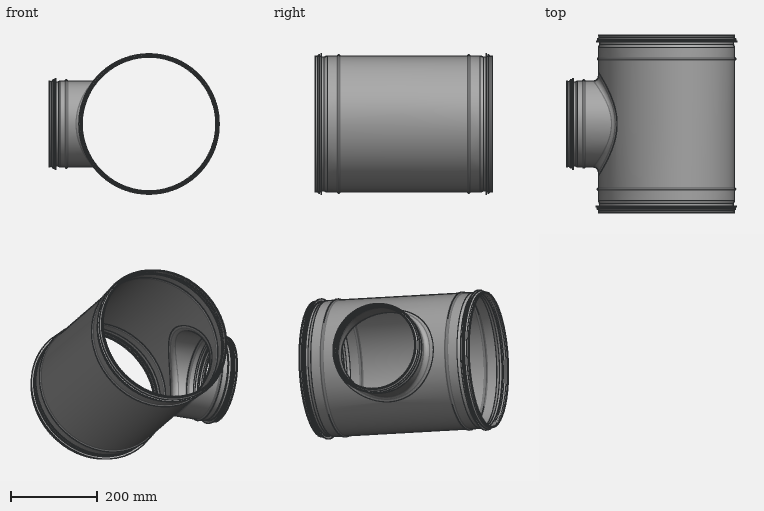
import cadquery as cq
main_length = 410.0
overall_width = 392.5

lip_length = 2.0
lip_rounding = 1.02
groove_end = 21.5
bead_width = 7.5
bead_height = 2.65

main_outer_radius = 314.5 / 2
main_wall = 0.6
main_groove_radius = 309.0 / 2
main_cone_end = 28.5
main_bead_centre = 55.0

branch_outer_radius = 199.0 / 2
branch_wall = 0.5
branch_groove_radius = 194.5 / 2
branch_cone_end = 24.5
branch_bead_centre = 39.8

saddle_fillet = 11.0
flange_half_length = 119.5
flange_half_height = 108.0
neck_length = 4.0

gasket_end = 15.5
thick_fin_start = 5.7
thick_fin_tip_start = 9.5
thick_fin_end = 11.0
thin_fin_thickness = 1.5
main_band_radius = 313.0 / 2
main_thick_fin_radius = 319.5 / 2
main_thin_fin_radius = 324.5 / 2
branch_band_radius = 197.0 / 2
branch_thick_fin_radius = 204.0 / 2
branch_thin_fin_radius = 209.5 / 2

branch_reach = overall_width - main_thin_fin_radius


def revolve_about_x(profile):
    return profile.close().revolve(360, (0, 0, 0), (1, 0, 0))


def spigot(length, outer, wall, groove, cone_end, bead_centre):
    """Sheet tube along +X; its open end, at X = 0, has a folded lip, a gasket groove and a pressed bead."""
    inner = outer - wall
    fold = groove + wall
    foot_start = bead_centre - bead_width / 2
    foot_end = bead_centre + bead_width / 2

    flank = bead_width / 4
    arc_radius = (flank**2 + (bead_height / 2) ** 2) / bead_height
    inner_flank = flank * (1 - wall / arc_radius)
    outer_flank_radius = outer + bead_height / 2
    inner_flank_radius = outer_flank_radius - wall * (1 - bead_height / 2 / arc_radius)

    profile = (
        cq.Workplane("XY")
        .moveTo(0, groove - wall)
        .lineTo(0, outer - lip_rounding)
        .radiusArc((lip_rounding, outer), lip_rounding)
        .lineTo(lip_length, outer)
        .lineTo(lip_length, fold)
        .lineTo(gasket_end, fold)
        .lineTo(gasket_end, groove)
        .lineTo(groove_end, groove)
        .lineTo(cone_end, outer)
        .lineTo(foot_start, outer)
        .tangentArcPoint((bead_centre - flank, outer_flank_radius), relative=False)
        .tangentArcPoint((bead_centre + flank, outer_flank_radius), relative=False)
        .tangentArcPoint((foot_end, outer), relative=False)
        .lineTo(length, outer)
        .lineTo(length, inner)
        .lineTo(foot_end, inner)
        .tangentArcPoint((bead_centre + inner_flank, inner_flank_radius), relative=False)
        .tangentArcPoint((bead_centre - inner_flank, inner_flank_radius), relative=False)
        .tangentArcPoint((foot_start, inner), relative=False)
        .lineTo(cone_end, inner)
        .lineTo(groove_end, groove - wall)
    )
    return revolve_about_x(profile)


def gasket(seat, band, thick_fin, thin_fin):
    """Rubber ring seated behind the lip of a spigot that opens at X = 0."""
    thin_fin_start = gasket_end - thin_fin_thickness
    profile = (
        cq.Workplane("XY")
        .moveTo(lip_length, seat)
        .lineTo(lip_length, band)
        .lineTo(thick_fin_start, band)
        .lineTo(thick_fin_tip_start, thick_fin)
        .lineTo(thick_fin_end, thick_fin)
        .lineTo(thick_fin_end, band)
        .lineTo(thin_fin_start, band)
        .lineTo(thin_fin_start, thin_fin)
        .lineTo(gasket_end, thin_fin)
        .lineTo(gasket_end, seat)
    )
    return revolve_about_x(profile)


def at_front_end(body):
    return body.rotate((0, 0, 0), (0, 0, 1), 90).translate((0, -main_length / 2, 0))


def at_both_main_ends(body):
    front = at_front_end(body)
    return [front, front.rotate((0, 0, 0), (0, 0, 1), 180)]


def at_branch_end(body):
    return body.translate((-branch_reach, 0, 0))


def flange_prism():
    """Elliptic prism along -X from the main axis, in the outline of the saddle flange."""
    return cq.Workplane("YZ").ellipse(flange_half_length, flange_half_height).extrude(-branch_reach)


def solid_tee(main_radius, branch_radius, branch_end, fillet):
    """Solid main and branch cylinders with a fillet where they meet."""
    main = cq.Workplane("XZ").circle(main_radius).extrude(main_length / 2, both=True)
    branch = cq.Workplane("YZ").circle(branch_radius).extrude(-branch_end)
    joint = cq.selectors.BoxSelector(
        (-main_radius, -branch_radius, -branch_radius), (-main_radius / 2, branch_radius, branch_radius)
    )
    return main.union(branch).edges(joint).fillet(fillet)


main_spigot = spigot(
    main_length / 2, main_outer_radius, main_wall,
    main_groove_radius, main_cone_end, main_bead_centre,
)
front_half, back_half = at_both_main_ends(main_spigot)
main_pipe = front_half.union(back_half).cut(flange_prism())

neck_end = main_outer_radius + saddle_fillet + neck_length
flare_outside = solid_tee(main_outer_radius, branch_outer_radius, neck_end, saddle_fillet)
flare_inside = solid_tee(
    main_outer_radius - main_wall,
    branch_outer_radius - branch_wall,
    neck_end,
    saddle_fillet + branch_wall,
)
flare = flare_outside.cut(flare_inside).intersect(flange_prism())
branch_spigot = spigot(
    branch_reach - neck_end, branch_outer_radius, branch_wall,
    branch_groove_radius, branch_cone_end, branch_bead_centre,
)
saddle = flare.union(at_branch_end(branch_spigot))

main_gasket = gasket(
    main_groove_radius + main_wall, main_band_radius, main_thick_fin_radius, main_thin_fin_radius
)
branch_gasket = at_branch_end(
    gasket(
        branch_groove_radius + branch_wall, branch_band_radius, branch_thick_fin_radius, branch_thin_fin_radius
    )
)
gaskets = [*at_both_main_ends(main_gasket), branch_gasket]

result = cq.Compound.makeCompound([main_pipe.val(), saddle.val(), *[ring.val() for ring in gaskets]])